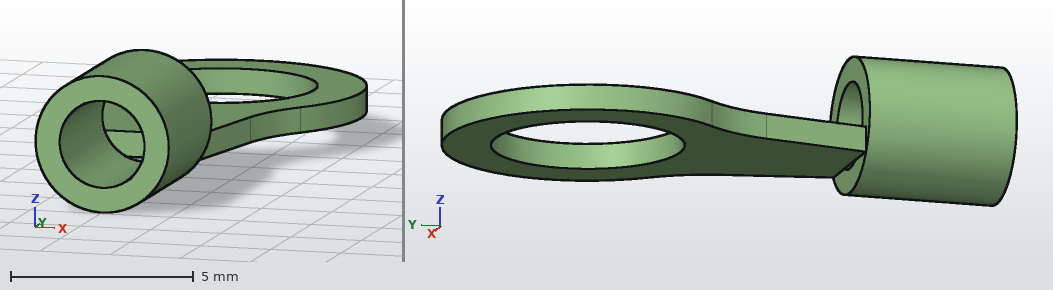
import cadquery as cq
import math

total_length = 15.69

ring_radius = 4.0
stud_hole_radius = 2.65
ring_center_y = total_length - ring_radius

plate_thickness = 0.7
plate_bottom_z = -1.1

barrel_radius = 1.9
bore_radius = 1.21
barrel_length = 4.2

neck_end_half_width = 1.52
neck_taper = math.radians(11.3)
neck_fillet_radius = ring_radius


def neck_tangency():
    """Return the fillet's start on the neck side, its midpoint and its end on the ring."""
    along = cq.Vector(math.sin(neck_taper), math.cos(neck_taper))
    outward = cq.Vector(math.cos(neck_taper), -math.sin(neck_taper))
    ring_center = cq.Vector(0, ring_center_y)
    neck_end = cq.Vector(neck_end_half_width, barrel_length)

    center_distance = ring_radius + neck_fillet_radius
    offset = neck_end + outward * neck_fillet_radius - ring_center
    projection = offset.dot(along)
    side_length = -projection - math.sqrt(projection**2 - offset.dot(offset) + center_distance**2)

    side_point = neck_end + along * side_length
    fillet_center = side_point + outward * neck_fillet_radius
    ring_point = ring_center + (fillet_center - ring_center) * (ring_radius / center_distance)
    toward_middle = ((side_point + ring_point) * 0.5 - fillet_center).normalized()
    fillet_middle = fillet_center + toward_middle * neck_fillet_radius
    return side_point, fillet_middle, ring_point


def mirrored(point):
    return (-point.x, point.y)


def make_plate():
    side_point, fillet_middle, ring_point = neck_tangency()
    return (
        cq.Workplane("XY", origin=(0, 0, plate_bottom_z))
        .moveTo(neck_end_half_width, barrel_length)
        .lineTo(side_point.x, side_point.y)
        .threePointArc((fillet_middle.x, fillet_middle.y), (ring_point.x, ring_point.y))
        .threePointArc((0, total_length), mirrored(ring_point))
        .threePointArc(mirrored(fillet_middle), mirrored(side_point))
        .lineTo(-neck_end_half_width, barrel_length)
        .close()
        .extrude(plate_thickness)
        .cut(
            cq.Workplane("XY", origin=(0, ring_center_y, plate_bottom_z))
            .circle(stud_hole_radius)
            .extrude(plate_thickness)
        )
    )


def make_barrel():
    return (
        cq.Workplane("XZ")
        .circle(barrel_radius)
        .circle(bore_radius)
        .extrude(-barrel_length)
    )


result = make_barrel().union(make_plate())